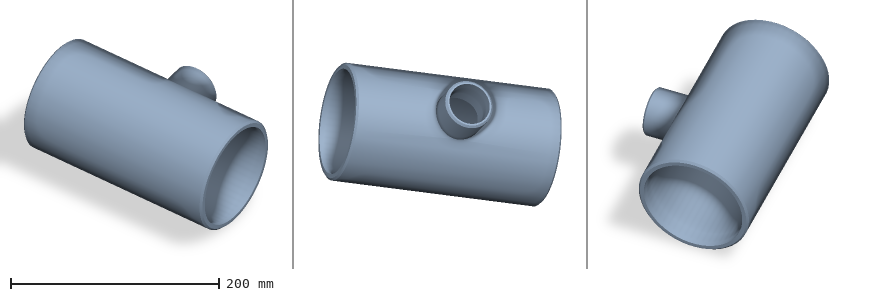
import cadquery as cq

run_length = 209.3
run_diameter = 114.3
run_wall = 6.02

branch_diameter = 48.3
branch_wall = 3.68
overall_depth = 143.0
branch_reach = overall_depth - run_diameter / 2

bevel = 2.0

run_bore = run_diameter - 2 * run_wall
branch_bore = branch_diameter - 2 * branch_wall


def run_cylinder(diameter):
    """Cylinder along X over the full run length."""
    start = cq.Workplane("YZ").workplane(offset=-run_length / 2)
    return start.circle(diameter / 2).extrude(run_length)


def branch_cylinder(diameter):
    """Cylinder along +Y from the run axis to the branch end face."""
    return cq.Workplane("XZ").circle(diameter / 2).extrude(-branch_reach)


run_body = run_cylinder(run_diameter).faces("<X or >X").chamfer(bevel)
branch_body = branch_cylinder(branch_diameter).faces(">Y").chamfer(bevel)

result = (
    run_body.union(branch_body)
    .cut(run_cylinder(run_bore))
    .cut(branch_cylinder(branch_bore))
)